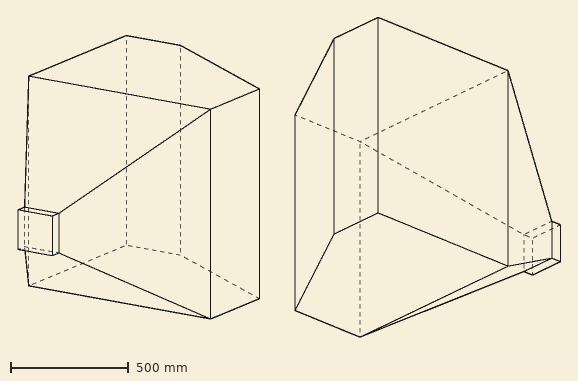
import cadquery as cq
import math

total_length = 1400.0
body_width = 925.0
body_length = 750.0
back_flat = 276.0
back_slope_angle = 30.0
spout_width = 175.0
spout_length = 50.0

half_width = body_width / 2
funnel_length = total_length - body_length - spout_length
back_drop = (body_width - back_flat) * math.tan(math.radians(back_slope_angle))

body_outline = [
    (-half_width, 0),
    (half_width, 0),
    (half_width, body_length - back_drop),
    (-half_width + back_flat, body_length),
    (-half_width, body_length),
]
body = cq.Workplane("XY").polyline(body_outline).close().extrude(half_width, both=True)

funnel = (
    cq.Workplane("XZ")
    .rect(body_width, body_width)
    .workplane(offset=funnel_length)
    .rect(spout_width, spout_width)
    .loft(ruled=True)
)

spout = (
    cq.Workplane("XZ", origin=(0, -funnel_length, 0))
    .rect(spout_width, spout_width)
    .extrude(spout_length)
)

result = body.union(funnel).union(spout)